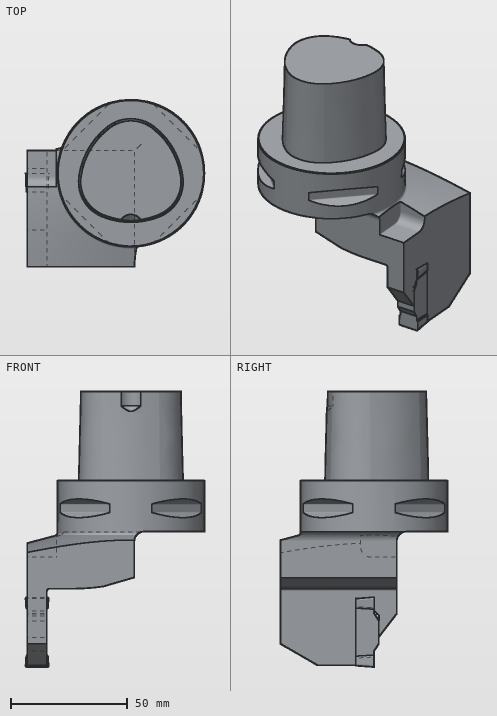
import cadquery as cq
import math

TOTAL_HEIGHT = 117.9

SHANK_HEIGHT = 38.0
SHANK_TIP_REACH = 23.4
SHANK_FLANK_REACH = 21.0
SHANK_TIP_RADIUS = 16.2
SHANK_TAPER_PER_SIDE = 1 / 40

KEY_RADIUS = 5.0
KEY_CENTRE_Y = -22.5
KEY_DEPTH = 6.3
KEY_POINT_ANGLE = 41.0

FLANGE_RADIUS = 63.0 / 2
FLANGE_HEIGHT = 22.0
FLANGE_CHAMFER = 0.4
SLOT_CENTRE_Z = -12.0
SLOT_FLOOR_DISTANCE = 27.7
SLOT_FLOOR_WIDTH = 3.7
SLOT_BEVEL_ANGLE = 30.0
SLOT_FLOOR_FILLET = 0.5

BLOCK_LEFT = -44.3
BLOCK_RIGHT = 1.5
BLOCK_FRONT = -40.0
BLOCK_BACK = 9.8
BLOCK_BOTTOM = -46.5
BLOCK_FLAT_END_X = -24.8
BLOCK_KINK = (-11.9, -45.5)
BLOCK_RIGHT_BOTTOM = -41.6
BLOCK_FLARE_RADIUS = 4.0
CONE_ANGLE = 15.0
CONE_TOP_Z = -23.4
CONE_FILLET = 1.0
ARM_THICKNESS = 8.5
ARM_INNER_FILLET = 1.0
ARM_BOTTOM = -79.1
ARM_BACK_CORNER_Z = -57.1
ARM_BACK_SLOPE = 8.5 / 6.5
ARM_FRONT_CORNER_Y = -24.2
ARM_FRONT_ANGLE = 30.0

NOTCH_WALL_X = -31.8
NOTCH_FLOOR_Z = -32.8
NOTCH_FRONT_Y = -5.8
NOTCH_CORNER_RADIUS = 4.4
NOTCH_WALL_FILLET = 0.5

INSERT_TOP_Z = -50.0
INSERT_BOTTOM_Z = SHANK_HEIGHT - TOTAL_HEIGHT
INSERT_WIDTH = 10.0
INSERT_RAKE_Y = 0.1
INSERT_SEAT_Y = -7.8
INSERT_RIDGE_Y = 2.1
INSERT_RIDGE_LENGTH = 9.9
INSERT_RIDGE_RUN = 3.1
INSERT_END_RELIEF = 0.6
INSERT_SIDE_RELIEF = 0.3
INSERT_DEPTH = INSERT_RAKE_Y - INSERT_SEAT_Y
INSERT_HEAD_LENGTH = 4.5
INSERT_HEEL_RELIEF = 0.5
INSERT_HEAD_NECK_RUN = 0.7
INSERT_HEAD_TAPER = 0.3
INSERT_NOSE_RADIUS = 0.8
POCKET_CHAMFER_TOP_Z = -55.9

CUT_MARGIN = 1.2

ARM_INNER_X = BLOCK_LEFT + ARM_THICKNESS
INSERT_CENTRE_X = BLOCK_LEFT + ARM_THICKNESS / 2
INSERT_CENTRE_Z = (INSERT_TOP_Z + INSERT_BOTTOM_Z) / 2


def polar(radius, degrees):
    angle = math.radians(degrees)
    return cq.Vector(radius * math.cos(angle), radius * math.sin(angle))


def shank_section(offset):
    """Closed wire of three tip arcs and three tangent flank arcs, shrunk by offset."""
    tip_centre = SHANK_TIP_REACH - SHANK_TIP_RADIUS
    gap = SHANK_FLANK_REACH - SHANK_TIP_RADIUS
    flank_centre = (tip_centre**2 - gap**2) / (2 * gap - tip_centre)
    tip_size = SHANK_TIP_RADIUS - offset
    edges = []
    for tip_angle in (90, 210, 330):
        flank_angle = tip_angle + 60
        flank_origin = polar(-flank_centre, flank_angle)
        here = polar(tip_centre, tip_angle)
        after = polar(tip_centre, tip_angle + 120)
        previous_flank_origin = polar(-flank_centre, tip_angle - 60)
        start = here + (here - previous_flank_origin).normalized() * tip_size
        end = here + (here - flank_origin).normalized() * tip_size
        following = after + (after - flank_origin).normalized() * tip_size
        tip = polar(SHANK_TIP_REACH - offset, tip_angle)
        flank = polar(SHANK_FLANK_REACH - offset, flank_angle)
        edges.append(cq.Edge.makeThreePointArc(start, tip, end))
        edges.append(cq.Edge.makeThreePointArc(end, flank, following))
    return cq.Wire.assembleEdges(edges)


def make_shank():
    top_offset = SHANK_HEIGHT * SHANK_TAPER_PER_SIDE
    base = shank_section(0)
    top = shank_section(top_offset).translate(cq.Vector(0, 0, SHANK_HEIGHT))
    return cq.Workplane(obj=cq.Solid.makeLoft([base, top], True))


def key_hole():
    rim_z = SHANK_HEIGHT - KEY_DEPTH
    point_z = rim_z - KEY_RADIUS * math.tan(math.radians(KEY_POINT_ANGLE))
    return (
        cq.Workplane("XZ")
        .polyline([(0, point_z), (KEY_RADIUS, rim_z), (KEY_RADIUS, SHANK_HEIGHT), (0, SHANK_HEIGHT)])
        .close()
        .revolve(360, (0, 0), (0, 1))
        .translate((0, KEY_CENTRE_Y, 0))
    )


def gripper_slot(angle):
    """Straight slot with bevelled sides, cut across the flange rim at the given angle."""
    depth = FLANGE_RADIUS + CUT_MARGIN - SLOT_FLOOR_DISTANCE
    floor_half = SLOT_FLOOR_WIDTH / 2
    mouth_half = floor_half + depth * math.tan(math.radians(SLOT_BEVEL_ANGLE))
    return (
        cq.Workplane("XZ")
        .polyline([(0, -floor_half), (depth, -mouth_half), (depth, mouth_half), (0, floor_half)])
        .close()
        .extrude(FLANGE_RADIUS, both=True)
        .edges("<X and |Y")
        .fillet(SLOT_FLOOR_FILLET)
        .translate((SLOT_FLOOR_DISTANCE, 0, SLOT_CENTRE_Z))
        .rotate((0, 0, 0), (0, 0, 1), angle)
    )


def make_flange():
    flange = (
        cq.Workplane("XY")
        .circle(FLANGE_RADIUS)
        .extrude(-FLANGE_HEIGHT)
        .faces(">Z")
        .edges()
        .chamfer(FLANGE_CHAMFER)
    )
    for angle in (45, 135, 225, 315):
        flange = flange.cut(gripper_slot(angle))
    return flange


def block_envelope():
    """Solid of revolution: flange cylinder, small fillet, then a shallow cone."""
    slope = math.tan(math.radians(CONE_ANGLE))
    outer = math.hypot(BLOCK_LEFT, BLOCK_FRONT) + CUT_MARGIN
    outer_z = CONE_TOP_Z - (outer - FLANGE_RADIUS) * slope
    envelope = (
        cq.Workplane("XZ")
        .moveTo(0, ARM_BOTTOM)
        .lineTo(outer, ARM_BOTTOM)
        .lineTo(outer, outer_z)
        .lineTo(FLANGE_RADIUS, CONE_TOP_Z)
        .lineTo(FLANGE_RADIUS, -FLANGE_HEIGHT)
        .lineTo(0, -FLANGE_HEIGHT)
        .close()
        .revolve(360, (0, 0), (0, 1))
    )
    cone_top = cq.selectors.NearestToPointSelector((0, 0, CONE_TOP_Z))
    return envelope.edges("%CIRCLE").edges(cone_top).fillet(CONE_FILLET)


def block_profile():
    """Front outline of block and arm, extruded from the front face to the back face."""
    middle_y = (BLOCK_FRONT + BLOCK_BACK) / 2
    inner_corner = cq.selectors.NearestToPointSelector((ARM_INNER_X, middle_y, BLOCK_BOTTOM))
    return (
        cq.Workplane("XZ", origin=(0, BLOCK_FRONT, 0))
        .moveTo(BLOCK_LEFT, -FLANGE_HEIGHT)
        .lineTo(BLOCK_LEFT, ARM_BOTTOM)
        .lineTo(ARM_INNER_X, ARM_BOTTOM)
        .lineTo(ARM_INNER_X, BLOCK_BOTTOM)
        .lineTo(BLOCK_FLAT_END_X, BLOCK_BOTTOM)
        .tangentArcPoint(BLOCK_KINK, relative=False)
        .lineTo(BLOCK_RIGHT, BLOCK_RIGHT_BOTTOM)
        .lineTo(BLOCK_RIGHT, -FLANGE_HEIGHT)
        .close()
        .extrude(BLOCK_FRONT - BLOCK_BACK)
        .edges(inner_corner)
        .fillet(ARM_INNER_FILLET)
    )


def block_flare():
    """Concave fillets spreading the right and back faces out to the flange underside."""
    right = BLOCK_RIGHT + BLOCK_FLARE_RADIUS
    back = BLOCK_BACK + BLOCK_FLARE_RADIUS
    axis_z = -FLANGE_HEIGHT - BLOCK_FLARE_RADIUS
    size_x = right - BLOCK_LEFT
    size_y = back - BLOCK_FRONT
    plate = cq.Workplane("XY").box(size_x, size_y, BLOCK_FLARE_RADIUS, centered=False)
    plate = plate.translate((BLOCK_LEFT, BLOCK_FRONT, axis_z))
    right_round = cq.Workplane("XZ", origin=(right, BLOCK_FRONT, axis_z))
    right_round = right_round.circle(BLOCK_FLARE_RADIUS).extrude(-size_y)
    back_round = cq.Workplane("YZ", origin=(BLOCK_LEFT, back, axis_z))
    back_round = back_round.circle(BLOCK_FLARE_RADIUS).extrude(size_x)
    return plate.cut(right_round).cut(back_round)


def arm_side_outline():
    """Side outline of the block and arm, with both sloping lower corners."""
    back = BLOCK_BACK + BLOCK_FLARE_RADIUS
    back_bottom_y = BLOCK_BACK - (ARM_BACK_CORNER_Z - ARM_BOTTOM) / ARM_BACK_SLOPE
    front_rise = (ARM_FRONT_CORNER_Y - BLOCK_FRONT) * math.tan(math.radians(ARM_FRONT_ANGLE))
    points = [
        (BLOCK_FRONT, -FLANGE_HEIGHT),
        (BLOCK_FRONT, ARM_BOTTOM + front_rise),
        (ARM_FRONT_CORNER_Y, ARM_BOTTOM),
        (back_bottom_y, ARM_BOTTOM),
        (BLOCK_BACK, ARM_BACK_CORNER_Z),
        (back, ARM_BACK_CORNER_Z),
        (back, -FLANGE_HEIGHT),
    ]
    length = BLOCK_RIGHT + BLOCK_FLARE_RADIUS - BLOCK_LEFT
    return cq.Workplane("YZ", origin=(BLOCK_LEFT, 0, 0)).polyline(points).close().extrude(length)


def corner_notch():
    size_x = NOTCH_WALL_X - BLOCK_LEFT
    size_y = BLOCK_BACK + BLOCK_FLARE_RADIUS - NOTCH_FRONT_Y
    size_z = -FLANGE_HEIGHT - NOTCH_FLOOR_Z
    return (
        cq.Workplane("XY")
        .box(size_x, size_y, size_z, centered=False)
        .edges("<Y and <Z")
        .fillet(NOTCH_CORNER_RADIUS)
        .faces(">X")
        .edges("<Z")
        .fillet(NOTCH_WALL_FILLET)
        .translate((BLOCK_LEFT, NOTCH_FRONT_Y, NOTCH_FLOOR_Z))
    )


def insert_pocket():
    """Slot through the arm thickness for the insert, open at the bottom."""
    step = INSERT_RIDGE_Y - INSERT_RAKE_Y
    points = [
        (INSERT_SEAT_Y, INSERT_BOTTOM_Z),
        (INSERT_SEAT_Y, INSERT_TOP_Z - INSERT_END_RELIEF),
        (INSERT_RAKE_Y, INSERT_TOP_Z),
        (INSERT_RAKE_Y, POCKET_CHAMFER_TOP_Z),
        (INSERT_RIDGE_Y, POCKET_CHAMFER_TOP_Z - step),
        (INSERT_RIDGE_Y, INSERT_BOTTOM_Z),
    ]
    return cq.Workplane("YZ", origin=(BLOCK_LEFT, 0, 0)).polyline(points).close().extrude(ARM_THICKNESS)


def make_holder():
    block = block_profile().union(block_flare()).intersect(arm_side_outline()).intersect(block_envelope())
    block = block.cut(corner_notch()).cut(insert_pocket())
    return make_flange().union(make_shank().cut(key_hole())).union(block)


def insert_body():
    """Side outline of the insert with its raised ridge, as thick as the arm."""
    ridge_half = INSERT_RIDGE_LENGTH / 2
    slope_half = ridge_half + INSERT_RIDGE_RUN
    rake_half = (INSERT_TOP_Z - INSERT_BOTTOM_Z) / 2
    seat_half = rake_half - INSERT_END_RELIEF
    return (
        cq.Workplane("YZ", origin=(BLOCK_LEFT, 0, INSERT_CENTRE_Z))
        .polyline([
            (INSERT_SEAT_Y, -seat_half),
            (INSERT_SEAT_Y, seat_half),
            (INSERT_RAKE_Y, rake_half),
            (INSERT_RAKE_Y, slope_half),
            (INSERT_RIDGE_Y, ridge_half),
            (INSERT_RIDGE_Y, -ridge_half),
            (INSERT_RAKE_Y, -slope_half),
            (INSERT_RAKE_Y, -rake_half),
        ])
        .close()
        .extrude(ARM_THICKNESS)
    )


def head_outline(depth, side_relief, end_relief):
    """Plan points (X, drop below the tip) of the upper cutting head at a depth below the rake face."""
    tip_half = INSERT_WIDTH / 2 - side_relief
    heel_half = tip_half - INSERT_HEAD_TAPER
    heel = INSERT_HEAD_LENGTH - INSERT_HEEL_RELIEF * depth / INSERT_DEPTH
    neck = heel + INSERT_HEAD_NECK_RUN
    neck_half = ARM_THICKNESS / 2
    right = [(tip_half, end_relief), (heel_half, heel), (neck_half, neck)]
    left = [(-x, drop) for x, drop in reversed(right)]
    corners = []
    for x, drop in right + left:
        corners.append(cq.Vector(INSERT_CENTRE_X + x, INSERT_RAKE_Y - depth, INSERT_TOP_Z - drop))
    return cq.Wire.makePolygon(corners, close=True)


def cutting_head():
    """Upper cutting head, flaring past both arm faces, with rounded corners and relief all round."""
    rake = head_outline(0, 0, 0)
    seat = head_outline(INSERT_DEPTH, INSERT_SIDE_RELIEF, INSERT_END_RELIEF)
    head = cq.Workplane(obj=cq.Solid.makeLoft([rake, seat], True))
    return head.faces(">Z").edges("not |X").fillet(INSERT_NOSE_RADIUS)


def make_insert():
    head = cutting_head()
    lower_head = head.mirror("XY", (0, 0, INSERT_CENTRE_Z))
    return insert_body().union(head).union(lower_head)


holder = make_holder()
insert = make_insert()
result = cq.Compound.makeCompound([holder.val(), insert.val()])